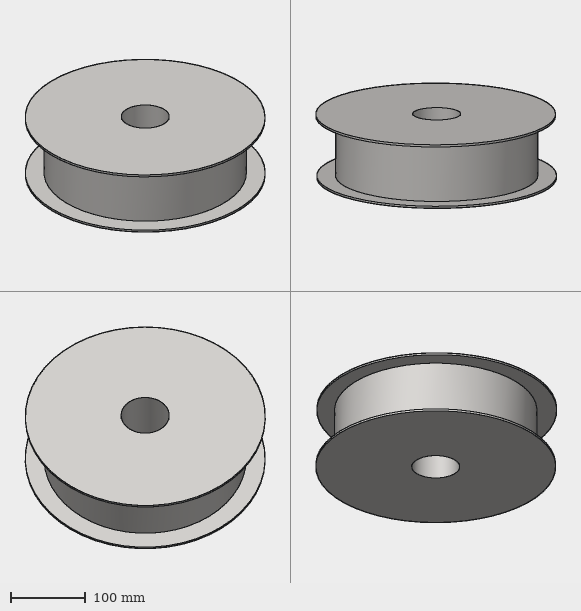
import cadquery as cq

flange_diameter = 320.0
flange_thickness = 3.0
core_diameter = 270.0
bore_diameter = 64.0
total_height = 88.0

upper_flange_offset_x = 1.31
upper_flange_offset_y = -0.87

core_height = total_height - 2 * flange_thickness
upper_flange_base = total_height - flange_thickness


def disc(diameter, height, base_z, center_x=0.0, center_y=0.0):
    """Solid disc standing on base_z, centred on the given point."""
    return (
        cq.Workplane("XY", origin=(center_x, center_y, base_z))
        .circle(diameter / 2)
        .extrude(height)
    )


lower_flange = disc(flange_diameter, flange_thickness, 0.0)
core = disc(core_diameter, core_height, flange_thickness)
upper_flange = disc(
    flange_diameter,
    flange_thickness,
    upper_flange_base,
    upper_flange_offset_x,
    upper_flange_offset_y,
)

bore = disc(bore_diameter, total_height, 0.0)

result = lower_flange.union(core).union(upper_flange).cut(bore)